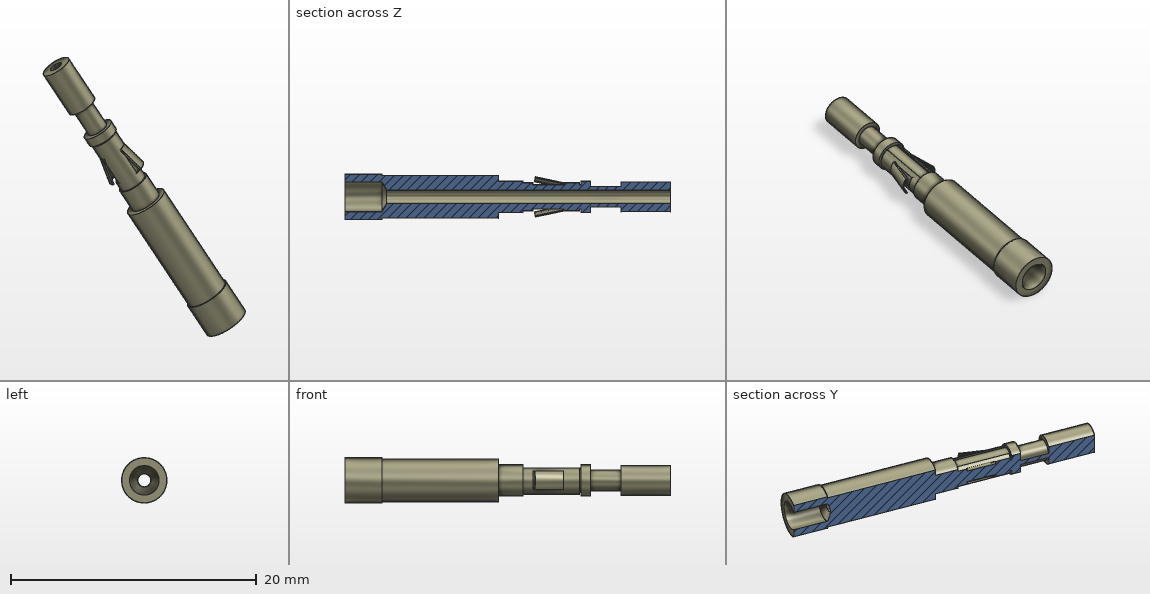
import cadquery as cq

COLLAR_END = 3.0
BODY_END = 12.5
SHOULDER_END = 14.5
CLIP_END = 19.1
FLANGE_START = 19.2
FLANGE_END = 20.0
NECK_END = 22.45
PART_LENGTH = 26.5

COLLAR_DIA = 3.7
BODY_DIA = 3.5
SHOULDER_DIA = 2.57
CORE_DIA = 2.0
FLANGE_DIA = SHOULDER_DIA
NECK_DIA = 1.7
BARREL_DIA = 2.45

SOCKET_DIA = 2.4
HOLE_DIA = 1.05
SOCKET_DEPTH = 3.0
CONE_LENGTH = 0.4

CLIP_DIA = 2.3
CLIP_SPLIT_WIDTH = 1.05
WINDOW_START = 15.3
WINDOW_END = 17.8
WINDOW_WIDTH = 1.5
BARB_LENGTH = 2.35
BARB_ANGLE = 12.0
BARB_THICKNESS = 0.1
BARB_OVERLAP = 0.1


def cylinder(start, end, diameter):
    """Cylinder on the X axis between two stations."""
    return cq.Workplane("YZ").workplane(offset=start).circle(diameter / 2).extrude(end - start)


def sleeve(start, end, inner_diameter):
    """Ring with the outer diameter of the clip between two stations."""
    return cylinder(start, end, CLIP_DIA).cut(cylinder(start, end, inner_diameter))


def side_block(start, end, side):
    """Block that picks out the window-wide strip on one Y side (side is +1 or -1)."""
    block = cq.Workplane("XY").box(end - start, CLIP_DIA, WINDOW_WIDTH)
    return block.translate(((start + end) / 2, side * CLIP_DIA / 2, 0))


def make_pin():
    """Turned contact body without bores."""
    sections = [
        (COLLAR_END, COLLAR_DIA),
        (BODY_END, BODY_DIA),
        (SHOULDER_END, SHOULDER_DIA),
        (FLANGE_START, CORE_DIA),
        (FLANGE_END, FLANGE_DIA),
        (NECK_END, NECK_DIA),
        (PART_LENGTH, BARREL_DIA),
    ]
    pin = cq.Workplane("YZ")
    start = 0
    for end, diameter in sections:
        pin = pin.union(cylinder(start, end, diameter))
        start = end
    return pin


def make_bore():
    """Socket with a conical floor, continued by a hole through the whole part."""
    cone_end = SOCKET_DEPTH + CONE_LENGTH
    return (
        cq.Workplane("XY")
        .polyline([
            (0, 0),
            (0, SOCKET_DIA / 2),
            (SOCKET_DEPTH, SOCKET_DIA / 2),
            (cone_end, HOLE_DIA / 2),
            (PART_LENGTH, HOLE_DIA / 2),
            (PART_LENGTH, 0),
        ])
        .close()
        .revolve(360, (0, 0, 0), (1, 0, 0))
    )


def make_barb(side):
    """Strip of the sleeve bent outwards about its root at the window end."""
    start = WINDOW_END - BARB_LENGTH
    end = WINDOW_END + BARB_OVERLAP
    barb = sleeve(start, end, CLIP_DIA - 2 * BARB_THICKNESS).intersect(side_block(start, end, side))
    root_y = side * CLIP_DIA / 2
    return barb.rotate((WINDOW_END, root_y, 0), (WINDOW_END, root_y, 1), -side * BARB_ANGLE)


def make_clip():
    """Split sleeve with two windows and two raised barbs."""
    clip = sleeve(SHOULDER_END, CLIP_END, CORE_DIA)
    split = cq.Workplane("XY").box(CLIP_END - SHOULDER_END, CLIP_SPLIT_WIDTH, CLIP_DIA)
    clip = clip.cut(split.translate(((SHOULDER_END + CLIP_END) / 2, 0, CLIP_DIA / 2)))
    for side in (1, -1):
        clip = clip.cut(side_block(WINDOW_START, WINDOW_END, side))
        clip = clip.union(make_barb(side))
    return clip


result = make_pin().union(make_clip()).cut(make_bore())